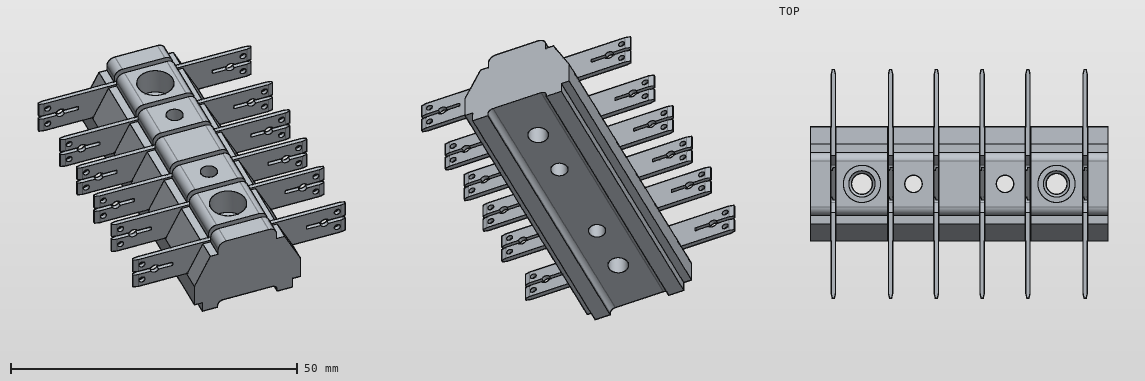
import cadquery as cq
import math

length = 52.0
height = 15.0
body_half_width = 10.0
foot_half_width = 8.5
foot_height = 2.0
side_top = 6.3
shoulder_top = 12.4
shoulder_half_width = 7.0
crown_half_width = 5.5
crown_radius = 1.5
channel_half_width = 5.6
channel_depth = 1.4
channel_radius = 1.0

screw_hole_x = 17.0
screw_hole_diameter = 3.6
screw_chamfer = 0.5
counterbore_diameter = 6.5
counterbore_depth = 5.0
pin_hole_x = 8.0
pin_hole_diameter = 3.0

blade_x = (4.0, 12.0, 22.0)
slot_width = 1.0
slot_floor = 6.4
blade_thickness = 0.8
blade_length = 40.0
blade_height = 6.3
blade_bottom = slot_floor
blade_top = blade_bottom + blade_height
blade_middle = blade_bottom + blade_height / 2
tip_bevel_length = 0.9
tip_bevel_depth = 0.2
split_width = 0.7
split_inner_y = 12.6
split_corner_radius = 0.2
eye_y = 16.0
eye_diameter = 1.6
wire_hole_y = 18.4
wire_hole_diameter = 1.1
wire_hole_rise = 1.77

notch_half_width = 5.0
notch_slope = 50.0
relief_y = 2.85
relief_radius = 0.55
crest_tilt = 60.0


def mirrored(values):
    return [sign * value for value in values for sign in (-1, 1)]


def make_half_bar():
    """The +Y half of the bar: its section in the YZ plane, extruded along X."""
    bend = math.sqrt(0.5)
    channel_flat = channel_half_width - channel_radius
    channel_spring = channel_depth - channel_radius
    channel_bend_y = channel_flat + channel_radius * bend
    channel_bend_z = channel_spring + channel_radius * bend
    crown_flat = crown_half_width - crown_radius
    crown_bend_y = crown_flat + crown_radius * bend
    crown_spring = height - crown_radius
    return (
        cq.Workplane("YZ", origin=(-length / 2, 0, 0))
        .moveTo(0, channel_depth)
        .lineTo(channel_flat, channel_depth)
        .threePointArc((channel_bend_y, channel_bend_z), (channel_half_width, channel_spring))
        .lineTo(channel_half_width, 0)
        .lineTo(foot_half_width, 0)
        .lineTo(foot_half_width, foot_height)
        .lineTo(body_half_width, foot_height)
        .lineTo(body_half_width, side_top)
        .lineTo(shoulder_half_width, shoulder_top)
        .lineTo(crown_half_width, shoulder_top)
        .lineTo(crown_half_width, crown_spring)
        .threePointArc((crown_bend_y, crown_spring + crown_radius * bend), (crown_flat, height))
        .lineTo(0, height)
        .close()
        .extrude(length)
    )


def make_housing():
    half_bar = make_half_bar()
    housing = half_bar.union(half_bar.mirror("XZ")).clean()

    for x in mirrored([pin_hole_x]):
        housing = housing.cut(cq.Workplane(origin=(x, 0, 0)).circle(pin_hole_diameter / 2).extrude(height))

    counterbore_floor = height - counterbore_depth
    screw_radius = screw_hole_diameter / 2
    for x in mirrored([screw_hole_x]):
        cutter = (
            cq.Workplane("XZ", origin=(x, 0, 0))
            .lineTo(screw_radius, 0)
            .lineTo(screw_radius, counterbore_floor - screw_chamfer)
            .lineTo(screw_radius + screw_chamfer, counterbore_floor)
            .lineTo(counterbore_diameter / 2, counterbore_floor)
            .lineTo(counterbore_diameter / 2, height)
            .lineTo(0, height)
            .close()
            .revolve(360, (0, 0, 0), (0, 1, 0))
        )
        housing = housing.cut(cutter)

    slot_depth = height - slot_floor
    for x in mirrored(blade_x):
        slot = cq.Workplane(origin=(x, 0, slot_floor)).box(
            slot_width, 2 * body_half_width, slot_depth, centered=(True, True, False)
        )
        housing = housing.cut(slot)
    return housing


def across_blade():
    """Work plane on the -X face of a blade standing at X = 0."""
    return cq.Workplane("YZ", origin=(-blade_thickness / 2, 0, 0))


def make_notch():
    """Cutter for the notch: sloping ends, round reliefs, and a floor tilted across the blade."""
    slope = math.radians(notch_slope)
    tangent_y = relief_y + relief_radius * math.sin(slope)
    notch_depth = (notch_half_width - tangent_y) * math.tan(slope)
    tangent_z = blade_top - notch_depth
    relief_z = tangent_z + relief_radius * math.cos(slope)

    opening = (
        across_blade()
        .polyline([
            (-notch_half_width, blade_top),
            (-tangent_y, tangent_z),
            (-relief_y, relief_z),
            (relief_y, relief_z),
            (tangent_y, tangent_z),
            (notch_half_width, blade_top),
        ])
        .close()
        .extrude(blade_thickness)
    )
    floor_low = relief_z
    floor_high = floor_low + blade_thickness * math.tan(math.radians(crest_tilt))
    crest = (
        cq.Workplane("XZ", origin=(0, relief_y, 0))
        .moveTo(-blade_thickness / 2, floor_low)
        .lineTo(blade_thickness / 2, floor_high)
        .lineTo(blade_thickness / 2, floor_low)
        .close()
        .extrude(2 * relief_y)
    )
    reliefs = (
        across_blade()
        .pushPoints([(-relief_y, relief_z), (relief_y, relief_z)])
        .circle(relief_radius)
        .extrude(blade_thickness)
    )
    return opening.cut(crest).union(reliefs)


def make_blade():
    """One blade standing at X = 0."""
    half_length = blade_length / 2
    shank_end = half_length - tip_bevel_length
    face_x = blade_thickness / 2
    tip_x = face_x - tip_bevel_depth
    blade = (
        cq.Workplane(origin=(0, 0, blade_bottom))
        .polyline([
            (-tip_x, -half_length),
            (tip_x, -half_length),
            (face_x, -shank_end),
            (face_x, shank_end),
            (tip_x, half_length),
            (-tip_x, half_length),
            (-face_x, shank_end),
            (-face_x, -shank_end),
        ])
        .close()
        .extrude(blade_height)
    )
    split_length = half_length - split_inner_y
    split = (
        across_blade()
        .center(split_inner_y + split_length / 2, blade_middle)
        .rect(split_length, split_width)
        .extrude(blade_thickness)
        .edges("|X and <Y")
        .fillet(split_corner_radius)
    )
    splits = split.union(split.mirror("XZ"))
    eyes = (
        across_blade()
        .pushPoints([(y, blade_middle) for y in mirrored([eye_y])])
        .circle(eye_diameter / 2)
        .extrude(blade_thickness)
    )
    wire_holes = (
        across_blade()
        .pushPoints([
            (y, blade_middle + rise)
            for y in mirrored([wire_hole_y])
            for rise in mirrored([wire_hole_rise])
        ])
        .circle(wire_hole_diameter / 2)
        .extrude(blade_thickness)
    )
    return blade.cut(splits).cut(eyes).cut(wire_holes).cut(make_notch())


housing = make_housing()
blade = make_blade()
blades = [blade.translate((x, 0, 0)) for x in mirrored(blade_x)]

result = cq.Compound.makeCompound([housing.val(), *[placed.val() for placed in blades]])